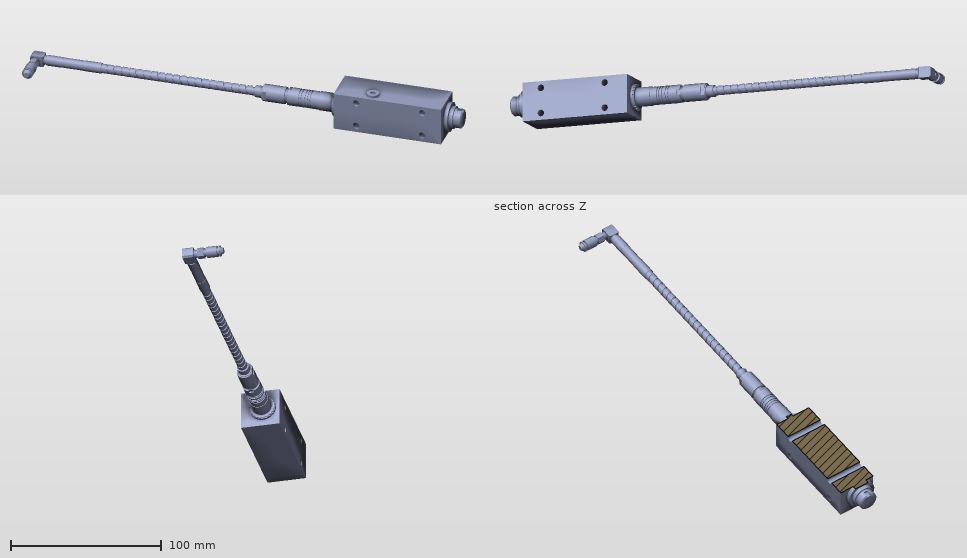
import cadquery as cq
import math

total_length = 298.0

housing_start = 212.5
housing_end = 287.0
housing_size = 26.2
housing_center_y = 1.8
bolt_hole_diameter = 4.5
bolt_hole_first_x = 228.2
bolt_hole_pitch_x = 45.5
bolt_hole_pitch_z = 17.0

button_x = 238.0
button_y = -5.5
button_radius = 4.2
button_height = 1.8
socket_circle_diameter = 4.2
socket_depth = 1.2

elbow_length = 9.2
elbow_size = 7.5
elbow_bevel = 1.2
elbow_corner_chamfer = 1.0
probe_x = elbow_size / 2
probe_diameter = 7.5
probe_neck_diameter = 5.5
probe_tip_y = 23.8
probe_flange_end = 21.8
nut_start = 6.3
nut_end = 10.7
nut_circle_diameter = 7.5
barrel_start = 12.5
barrel_end = 19.7
flange_start = 21.0
cone_base_diameter = 6.0
cone_tip_diameter = 3.5

neck_end = 11.0
neck_diameter = 6.3
ferrule_end = 21.5
tube_end = 36.5
tube_diameter = 7.0
sleeve_diameter = 7.2

wrap_start = 49.0
wrap_end = 155.5
wrap_diameter = 6.3
wrap_turns = 21
wrap_pitch = (wrap_end - wrap_start) / wrap_turns
wrap_groove_width = 1.2
wrap_groove_depth = 0.5
wrap_groove_x = 52.5

body_start = 161.0
body_end = 176.5
body_diameter = 11.5
body_chamfer = 0.3
collar_diameter = 8.0
shoulder_start = 160.3
shoulder_diameter = 9.8
wrench_flat_end = 164.0
coupling_start = 178.5
coupling_end = 200.0
coupling_diameter = 12.2
grip_groove_pitch = 1.8
grip_groove_width = 1.0
grip_groove_depth = 0.5
first_grip_x = 186.2
first_grip_count = 2
second_grip_x = 190.7
second_grip_count = 3
bayonet_slot_length = 2.0
bayonet_slot_width = 3.5
bayonet_slot_depth = 1.0
bayonet_slot_angles = (0, 180, 270)
socket_diameter = 12.8
ring_nut_start = 210.0
ring_nut_diameter = 18.0
ring_nut_chamfer = 0.5
ring_nut_notches = 20
notch_size = 1.0

plug_y = 4.0
plug_flange_end = 289.5
plug_flange_diameter = 20.3
plug_collar_end = 292.3
plug_collar_diameter = 15.5
plug_diameter = 13.0
plug_chamfer = 1.0
collar_flat_width = 4.5
keyway_width = 2.7
keyway_depth = 1.2
keyway_start = 293.8


def rod(start, end, diameter, y=0.0):
    """Cylinder along X from start to end."""
    return cq.Workplane("YZ", origin=(start, y, 0)).circle(diameter / 2).extrude(end - start)


def block(start, end, width_y, bottom, top, y=0.0):
    """Box from start to end along X, centred at y, between two heights."""
    center = ((start + end) / 2, y, (bottom + top) / 2)
    return cq.Workplane("XY", origin=center).box(end - start, width_y, top - bottom)


def probe_rod(start, end, diameter):
    """Cylinder along -Y, with start and end measured from the cable axis."""
    base = cq.Workplane("XZ", origin=(probe_x, -start, 0))
    return base.circle(diameter / 2).extrude(end - start)


def make_elbow():
    center = (elbow_length / 2, 0, 0)
    elbow = cq.Workplane("XY", origin=center).box(elbow_length, elbow_size, elbow_size)
    elbow = elbow.faces("<X").edges("|Y").chamfer(elbow_bevel)
    return elbow.edges("|Z and >X").chamfer(elbow_corner_chamfer)


def make_probe():
    probe = probe_rod(0, flange_start, probe_neck_diameter)
    nut = cq.Workplane("XZ", origin=(probe_x, -nut_start, 0))
    probe = probe.union(nut.polygon(6, nut_circle_diameter).extrude(nut_end - nut_start))
    probe = probe.union(probe_rod(barrel_start, barrel_end, probe_diameter))
    probe = probe.union(probe_rod(flange_start, probe_flange_end, probe_diameter))
    tip = (
        cq.Workplane("XZ", origin=(probe_x, -probe_flange_end, 0))
        .circle(cone_base_diameter / 2)
        .workplane(offset=probe_tip_y - probe_flange_end)
        .circle(cone_tip_diameter / 2)
        .loft()
    )
    return probe.union(tip)


def make_cable():
    """Stepped sleeves and the cable, before the spiral wrap is cut."""
    cable = rod(elbow_length, neck_end, neck_diameter)
    cable = cable.union(rod(neck_end, ferrule_end, sleeve_diameter))
    cable = cable.union(rod(ferrule_end, tube_end, tube_diameter))
    cable = cable.union(rod(tube_end, wrap_start, sleeve_diameter))
    return cable.union(rod(wrap_start, wrap_end, wrap_diameter))


def make_wrap_groove():
    """Right-handed spiral groove cutter that stays between the two cable sleeves."""
    turns_before = (wrap_groove_x - wrap_start - wrap_groove_width) // wrap_pitch
    helix_start = wrap_groove_x - turns_before * wrap_pitch
    helix_length = wrap_end - wrap_groove_width - helix_start
    wrap_radius = wrap_diameter / 2
    helix = cq.Wire.makeHelix(wrap_pitch, helix_length, wrap_radius)
    groove = (
        cq.Workplane("XZ", origin=(wrap_radius, 0, 0))
        .rect(2 * wrap_groove_depth, wrap_groove_width)
        .sweep(cq.Workplane(obj=helix), isFrenet=True)
    )
    groove = groove.rotate((0, 0, 0), (0, 1, 0), 90).rotate((0, 0, 0), (1, 0, 0), 180)
    return groove.translate((helix_start, 0, 0))


def make_connector_body():
    body = rod(wrap_end, shoulder_start, collar_diameter)
    body = body.union(rod(shoulder_start, coupling_start, shoulder_diameter))
    barrel = rod(body_start, body_end, body_diameter).faces("<X").chamfer(body_chamfer)
    body_radius = body_diameter / 2
    for side in (-1, 1):
        cutter_center = side * (shoulder_diameter + body_radius) / 2
        barrel = barrel.cut(
            block(body_start, wrench_flat_end, body_radius, -body_radius, body_radius, cutter_center)
        )
    return body.union(barrel)


def make_coupling():
    """Coupling sleeve with two grip bands and bayonet slots at its front edge."""
    coupling = rod(coupling_start, coupling_end, coupling_diameter)
    grips = ((first_grip_x, first_grip_count), (second_grip_x, second_grip_count))
    for first_x, count in grips:
        for index in range(count):
            x = first_x + index * grip_groove_pitch
            ring = rod(x, x + grip_groove_width, coupling_diameter)
            ring = ring.cut(rod(x, x + grip_groove_width, coupling_diameter - 2 * grip_groove_depth))
            coupling = coupling.cut(ring)
    coupling_radius = coupling_diameter / 2
    slot = block(
        coupling_start, coupling_start + bayonet_slot_length, bayonet_slot_width,
        coupling_radius - bayonet_slot_depth, coupling_radius,
    )
    for angle in bayonet_slot_angles:
        coupling = coupling.cut(slot.rotate((0, 0, 0), (1, 0, 0), angle))
    return coupling


def make_socket():
    """Mating socket with a notched ring nut against the housing."""
    socket = rod(coupling_end, housing_start, socket_diameter)
    nut = rod(ring_nut_start, housing_start, ring_nut_diameter).faces("<X").chamfer(ring_nut_chamfer)
    ring_nut_radius = ring_nut_diameter / 2
    notch = block(
        ring_nut_start, ring_nut_start + notch_size, notch_size,
        ring_nut_radius - notch_size, ring_nut_radius,
    )
    for index in range(ring_nut_notches):
        angle = 360 * index / ring_nut_notches
        nut = nut.cut(notch.rotate((0, 0, 0), (1, 0, 0), angle))
    return socket.union(nut)


def make_housing():
    half = housing_size / 2
    housing = block(housing_start, housing_end, housing_size, -half, half, housing_center_y)
    hole_center_x = bolt_hole_first_x + bolt_hole_pitch_x / 2
    holes = (
        cq.Workplane("XZ", origin=(hole_center_x, housing_center_y, 0))
        .rarray(bolt_hole_pitch_x, bolt_hole_pitch_z, 2, 2)
        .circle(bolt_hole_diameter / 2)
        .extrude(housing_size, both=True)
    )
    button = (
        cq.Workplane("XY", origin=(button_x, button_y, half))
        .circle(button_radius)
        .extrude(button_height)
        .faces(">Z")
        .workplane()
        .polygon(6, socket_circle_diameter)
        .cutBlind(-socket_depth)
    )
    return housing.cut(holes).union(button)


def make_plug():
    collar_radius = plug_collar_diameter / 2
    plug_radius = plug_diameter / 2
    collar = rod(plug_flange_end, plug_collar_end, plug_collar_diameter, plug_y)
    flat_height = math.sqrt(collar_radius**2 - (collar_flat_width / 2) ** 2)
    collar = collar.cut(
        block(plug_flange_end, plug_collar_end, collar_flat_width, flat_height, collar_radius, plug_y)
    )
    plug = rod(plug_collar_end, total_length, plug_diameter, plug_y).faces(">X").chamfer(plug_chamfer)
    plug = plug.cut(
        block(keyway_start, total_length, keyway_width, plug_radius - keyway_depth, plug_radius, plug_y)
    )
    flange = rod(housing_end, plug_flange_end, plug_flange_diameter, plug_y)
    return flange.union(collar).union(plug)


result = make_elbow()
for body in (
    make_probe(),
    make_cable(),
    make_connector_body(),
    make_coupling(),
    make_socket(),
    make_housing(),
    make_plug(),
):
    result = result.union(body)
result = result.cut(make_wrap_groove(), clean=False)